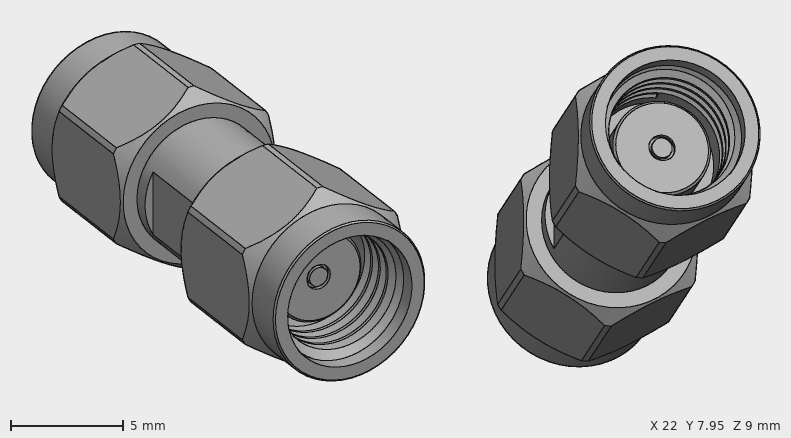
import cadquery as cq
import math

length = 22.0

collar_diameter = 7.77
collar_length = 1.98
collar_edge_chamfer = 0.077
hex_length = 6.38
hex_across_flats = 7.95
hex_across_corners = 9.0
hex_chamfer_length = 0.73

neck_diameter = 6.35
neck_flat_length = 3.8
neck_across_flats = 5.55

cavity_depth = 4.85
entry_depth = 0.75
lead_in_length = 0.4
thread_major_diameter = 6.35
thread_pitch = 0.7
thread_depth = 0.4
thread_crest_width = 0.15
thread_root_width = 0.09
thread_start_depth = 0.3
thread_turns = 5
thread_start_angle = 180.0
thread_root_clearance = 0.01
groove_overlap = 0.07

insert_diameter = 4.45
insert_front_depth = 2.82
insert_edge_chamfer = 0.1
pin_diameter = 0.92
pin_recess_diameter = 1.19
pin_recess_depth = 0.22

nut_length = collar_length + hex_length
end_x = -length / 2


def cylinder_x(start, depth, diameter):
    """Solid cylinder along +X from the plane x = start."""
    return cq.Workplane("YZ", origin=(start, 0, 0)).circle(diameter / 2).extrude(depth)


def turned_x(profile):
    """Solid of revolution about X from (x, radius) points."""
    return cq.Workplane("XY").polyline(profile).close().revolve(360, (0, 0, 0), (1, 0, 0))


def make_nut_blank():
    """Round collar and double-chamfered hexagon; corners point to +Z and -Z."""
    collar = cylinder_x(end_x, collar_length, collar_diameter)
    collar = collar.faces("<X").chamfer(collar_edge_chamfer)

    hex_start = end_x + collar_length
    hex_end = end_x + nut_length
    full_corner_diameter = hex_across_flats / math.cos(math.pi / 6)
    hexagon = (
        cq.Workplane("YZ", origin=(hex_start, 0, 0))
        .transformed(rotate=(0, 0, 90))
        .polygon(6, full_corner_diameter)
        .extrude(hex_length)
    )
    corner_radius = hex_across_corners / 2
    envelope = turned_x([
        (hex_start, 0),
        (hex_start, collar_diameter / 2),
        (hex_start + hex_chamfer_length, corner_radius),
        (hex_end - hex_chamfer_length, corner_radius),
        (hex_end, collar_diameter / 2),
        (hex_end, 0),
    ])
    return collar.union(hexagon.intersect(envelope))


def make_bore():
    """Plain entry, conical lead-in and thread-crest bore."""
    major_radius = thread_major_diameter / 2
    minor_radius = major_radius - thread_depth
    return turned_x([
        (end_x, 0),
        (end_x, major_radius),
        (end_x + entry_depth, major_radius),
        (end_x + entry_depth + lead_in_length, minor_radius),
        (end_x + cavity_depth, minor_radius),
        (end_x + cavity_depth, 0),
    ])


def make_thread_groove():
    """Helical V groove; its inner side reaches into the bore for a clean cut."""
    root_radius = thread_major_diameter / 2 - thread_root_clearance
    inner_radius = thread_major_diameter / 2 - thread_depth - groove_overlap
    half_root = thread_root_width / 2
    half_mouth = (thread_pitch - thread_crest_width) / 2 + groove_overlap / 2
    path = cq.Wire.makeHelix(thread_pitch, thread_pitch * thread_turns, inner_radius)
    groove = (
        cq.Workplane("XZ")
        .polyline([
            (inner_radius, -half_mouth),
            (root_radius, -half_root),
            (root_radius, half_root),
            (inner_radius, half_mouth),
        ])
        .close()
        .sweep(cq.Workplane(obj=path), isFrenet=True)
    )
    return (
        groove.rotate((0, 0, 0), (0, 0, 1), thread_start_angle)
        .rotate((0, 0, 0), (0, 1, 0), 90)
        .translate((end_x + thread_start_depth, 0, 0))
    )


def make_insert():
    """Chamfered insert with a flush pin inside a ring-shaped recess."""
    front_x = end_x + insert_front_depth
    insert = cylinder_x(front_x, cavity_depth - insert_front_depth, insert_diameter)
    insert = insert.faces("<X").chamfer(insert_edge_chamfer)
    recess = cylinder_x(front_x, pin_recess_depth, pin_recess_diameter)
    pin = cylinder_x(front_x, pin_recess_depth, pin_diameter)
    return insert.cut(recess).union(pin)


def make_neck():
    """Cylinder between the nuts with a wrench flat milled on each Y side."""
    neck_length = length - 2 * nut_length
    neck = cylinder_x(-neck_length / 2, neck_length, neck_diameter)
    flat_band = cq.Workplane("XY").box(neck_flat_length, neck_diameter, neck_diameter)
    flat_core = cq.Workplane("XY").box(neck_flat_length, neck_across_flats, neck_diameter)
    return neck.cut(flat_band.cut(flat_core))


nut = make_nut_blank().cut(make_bore()).cut(make_thread_groove()).union(make_insert())
opposite_nut = nut.rotate((0, 0, 0), (0, 0, 1), 180)
result = make_neck().union(nut).union(opposite_nut)